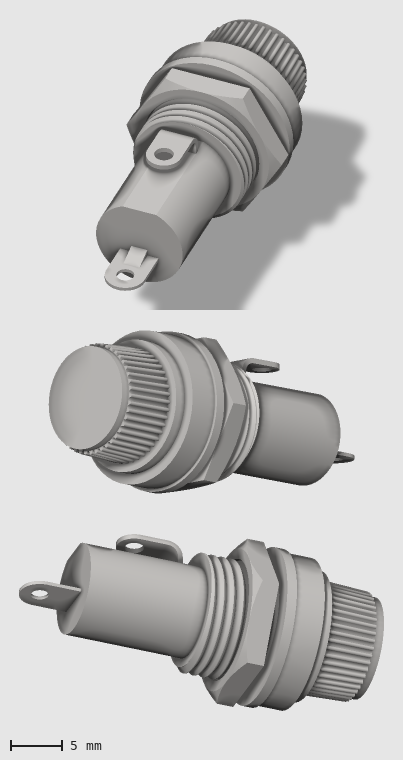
import cadquery as cq
import math


TIP_END = 0.9
KNURL_END = 5.9
COLLAR_END = 7.1
FLANGE_END = 10.07
WASHER_END = 11.07
NUT_START = 12.03
NUT_END = 14.35
THREAD_END = 18.05
BARREL_END = 30.07
TOTAL_LENGTH = 35.6

TIP_DIAMETER = 10.05
KNURL_TIP_DIAMETER = 10.82
KNURL_BASE_DIAMETER = 11.28
KNURL_TOOTH_COUNT = 45
KNURL_GROOVE_DEPTH = 0.35
COLLAR_DIAMETER = 12.9

FLANGE_DIAMETER = 15.0
WASHER_DIAMETER = 15.6
NECK_DIAMETER = 12.0
THREAD_DIAMETER = 11.75
THREAD_PITCH = 1.0
THREAD_ROOT_DIAMETER = 10.68
THREAD_CREST_WIDTH = 0.07
THREAD_BASE_WIDTH = 0.95
THREAD_CREST_DEPTH = 11.85
BARREL_DIAMETER = 9.0
BARREL_FLAT_WIDTH = 3.5

BARREL_FLAT_HEIGHT = math.sqrt((BARREL_DIAMETER / 2) ** 2 - (BARREL_FLAT_WIDTH / 2) ** 2)

NUT_CORNER_DIAMETER = 16.15
NUT_HOLE_DIAMETER = NECK_DIAMETER
NUT_CHAMFER_ANGLE = 30.0

SIDE_TERMINAL_START = 19.5
SIDE_TERMINAL_END = 25.6
SIDE_TERMINAL_TOP = 6.48
SIDE_TERMINAL_THICKNESS = 0.5
SIDE_TERMINAL_BEND_RADIUS = 1.5
SIDE_TERMINAL_HOLE_DIAMETER = 1.9

END_TERMINAL_WIDTH = 4.0
END_TERMINAL_TOP = -1.15
END_TERMINAL_THICKNESS = 0.35
END_TERMINAL_HOLE_DIAMETER = 1.7
WEDGE_WIDTH = 1.67
WEDGE_HEIGHT = 0.68
WEDGE_LENGTH = 2.0

OVERLAP = 0.05


def at_depth(depth):
    """Workplane across the axis: local x is X, local y is Z, extrusion runs toward -Y."""
    return cq.Workplane("XZ", origin=(0, -depth, 0))


def disc(diameter, start, end):
    return at_depth(start).circle(diameter / 2).extrude(end - start)


def turned(radius_depth_points):
    """Solid of revolution about Y from an outline of (radius, depth) points."""
    outline = [(radius, -depth) for radius, depth in radius_depth_points]
    return cq.Workplane("XY").polyline(outline).close().revolve(360, (0, 0, 0), (0, 1, 0))


def knurl_section(depth, crest_diameter):
    """Closed wave across the axis, with round grooves and round teeth in turn."""
    arc_angle = math.pi / KNURL_TOOTH_COUNT
    crest_radius = crest_diameter / 2
    root_radius = crest_radius - KNURL_GROOVE_DEPTH
    middle_radius = crest_radius - KNURL_GROOVE_DEPTH / 2

    def point(radius, angle):
        return cq.Vector(radius * math.sin(angle), -depth, radius * math.cos(angle))

    arcs = []
    for i in range(2 * KNURL_TOOTH_COUNT):
        start = i * arc_angle
        peak_radius = root_radius if i % 2 else crest_radius
        arcs.append(cq.Edge.makeThreePointArc(
            point(middle_radius, start),
            point(peak_radius, start + arc_angle / 2),
            point(middle_radius, start + arc_angle),
        ))
    return cq.Wire.assembleEdges(arcs)


def make_knob():
    knurl = cq.Solid.makeLoft(
        [knurl_section(TIP_END, KNURL_TIP_DIAMETER), knurl_section(KNURL_END, KNURL_BASE_DIAMETER)],
        True,
    )
    tip = disc(TIP_DIAMETER, 0, TIP_END)
    collar = disc(COLLAR_DIAMETER, KNURL_END, COLLAR_END)
    return tip.union(cq.Workplane(knurl)).union(collar)


def thread_ridge():
    """Right-handed helical ridge, trimmed to the threaded length and rooted just inside the core."""
    lead_in = 2 * THREAD_PITCH
    length = THREAD_END - WASHER_END + 2 * lead_in
    root_radius = THREAD_ROOT_DIAMETER / 2
    base_radius = root_radius - OVERLAP
    crest_radius = THREAD_DIAMETER / 2
    half_base = THREAD_BASE_WIDTH / 2
    half_crest = THREAD_CREST_WIDTH / 2
    helix = cq.Wire.makeHelix(THREAD_PITCH, length, root_radius)
    ridge = (
        cq.Workplane("XZ")
        .polyline([
            (base_radius, -half_base),
            (crest_radius, -half_crest),
            (crest_radius, half_crest),
            (base_radius, half_base),
        ])
        .close()
        .sweep(cq.Workplane(helix), isFrenet=True)
        .rotate((0, 0, 0), (1, 0, 0), 90)
        .translate((0, lead_in - THREAD_CREST_DEPTH, 0))
    )
    return ridge.intersect(disc(WASHER_DIAMETER, WASHER_END, THREAD_END))


def make_housing():
    flange = disc(FLANGE_DIAMETER, COLLAR_END, FLANGE_END)
    neck = disc(NECK_DIAMETER, FLANGE_END, WASHER_END)
    core = disc(THREAD_ROOT_DIAMETER, WASHER_END, THREAD_END)
    thread = core.union(thread_ridge())
    barrel = disc(BARREL_DIAMETER, THREAD_END, BARREL_END)
    above_flat = (
        at_depth(THREAD_END)
        .center(0, BARREL_FLAT_HEIGHT + BARREL_DIAMETER / 2)
        .rect(BARREL_DIAMETER, BARREL_DIAMETER)
        .extrude(BARREL_END - THREAD_END)
    )
    return flange.union(neck).union(thread).union(barrel.cut(above_flat))


def make_washer():
    return disc(WASHER_DIAMETER, FLANGE_END, WASHER_END).cut(disc(NECK_DIAMETER, FLANGE_END, WASHER_END))


def make_nut():
    hexagon = at_depth(NUT_START).polygon(6, NUT_CORNER_DIAMETER).extrude(NUT_END - NUT_START)
    flats_radius = NUT_CORNER_DIAMETER / 2 * math.cos(math.pi / 6)
    rim_radius = NUT_CORNER_DIAMETER / 2
    rim_drop = (rim_radius - flats_radius) * math.tan(math.radians(NUT_CHAMFER_ANGLE))
    chamfered_blank = turned([
        (0, NUT_START),
        (rim_radius, NUT_START),
        (rim_radius, NUT_END - rim_drop),
        (flats_radius, NUT_END),
        (0, NUT_END),
    ])
    return hexagon.intersect(chamfered_blank).cut(disc(NUT_HOLE_DIAMETER, NUT_START, NUT_END))


def rounded_tab(width, start, end, bottom, top, hole_diameter):
    """Flat strip in a level plane with a full round end and a hole on the centre of the round."""
    round_center = end - width / 2
    plane = cq.Workplane("XY", origin=(0, 0, bottom))
    tab = (
        plane.moveTo(-width / 2, -start)
        .lineTo(-width / 2, -round_center)
        .threePointArc((0, -end), (width / 2, -round_center))
        .lineTo(width / 2, -start)
        .close()
        .extrude(top - bottom)
    )
    return tab.cut(plane.center(0, -round_center).circle(hole_diameter / 2).extrude(top - bottom))


def make_side_terminal():
    bend_end = SIDE_TERMINAL_START + SIDE_TERMINAL_BEND_RADIUS
    bend_height = SIDE_TERMINAL_TOP - SIDE_TERMINAL_BEND_RADIUS
    underside = SIDE_TERMINAL_TOP - SIDE_TERMINAL_THICKNESS
    inner_radius = SIDE_TERMINAL_BEND_RADIUS - SIDE_TERMINAL_THICKNESS
    leg_back = SIDE_TERMINAL_START + SIDE_TERMINAL_THICKNESS
    leg = (
        cq.Workplane("YZ", origin=(-BARREL_FLAT_WIDTH / 2, 0, 0))
        .moveTo(-SIDE_TERMINAL_START, BARREL_FLAT_HEIGHT)
        .lineTo(-SIDE_TERMINAL_START, bend_height)
        .radiusArc((-bend_end, SIDE_TERMINAL_TOP), -SIDE_TERMINAL_BEND_RADIUS)
        .lineTo(-bend_end, underside)
        .radiusArc((-leg_back, bend_height), inner_radius)
        .lineTo(-leg_back, BARREL_FLAT_HEIGHT)
        .close()
        .extrude(BARREL_FLAT_WIDTH)
    )
    tab = rounded_tab(
        BARREL_FLAT_WIDTH, bend_end, SIDE_TERMINAL_END,
        underside, SIDE_TERMINAL_TOP, SIDE_TERMINAL_HOLE_DIAMETER,
    )
    return leg.union(tab)


def make_end_terminal():
    tab = rounded_tab(
        END_TERMINAL_WIDTH, BARREL_END, TOTAL_LENGTH,
        END_TERMINAL_TOP - END_TERMINAL_THICKNESS, END_TERMINAL_TOP, END_TERMINAL_HOLE_DIAMETER,
    )
    wedge = (
        cq.Workplane("YZ", origin=(-WEDGE_WIDTH / 2, 0, 0))
        .moveTo(-BARREL_END, END_TERMINAL_TOP)
        .lineTo(-BARREL_END, END_TERMINAL_TOP + WEDGE_HEIGHT)
        .lineTo(-BARREL_END - WEDGE_LENGTH, END_TERMINAL_TOP)
        .close()
        .extrude(WEDGE_WIDTH)
    )
    return tab.union(wedge)


knob = make_knob()
housing = make_housing()
washer = make_washer()
nut = make_nut()
side_terminal = make_side_terminal()
end_terminal = make_end_terminal()

result = cq.Compound.makeCompound([
    knob.val(),
    housing.val(),
    washer.val(),
    nut.val(),
    side_terminal.val(),
    end_terminal.val(),
])